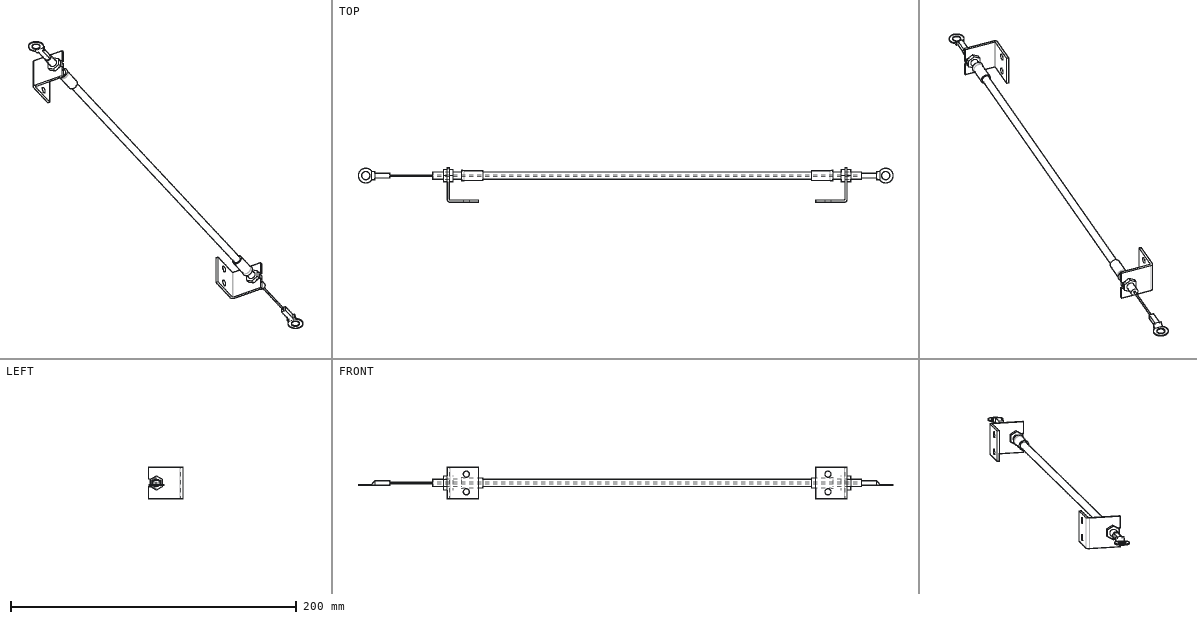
import cadquery as cq
import math

overall_length = 375.0

wire_diameter = 1.2
terminal_length = 22.0
ferrule_size = 3.5
ring_diameter = 10.5
ring_hole_diameter = 5.5
ring_thickness = 0.7
neck_width = 6.0
neck_start = 9.5
neck_end = 11.5

sheath_center = 15.0
sheath_diameter = 5.2
fitting_tip = 150.5
thread_diameter = 5.2
sleeve_inner_end = 115.0
sleeve_length = 13.0
sleeve_diameter = 7.0
collar_length = 2.0
collar_diameter = 8.0

bracket_outer_face = 140.2
bracket_width = 22.0
bracket_depth = 24.5
edge_above_axis = 5.5
sheet_thickness = 1.7
bend_inner_radius = 0.5
screw_hole_diameter = 4.0
screw_hole_spacing = 12.5
screw_hole_inset = 13.5

nut_across_flats = 8.5
nut_thickness = 2.5

SIDES = (-1, 1)


def rod(diameter, start, end):
    """Round bar along X between two stations."""
    return cq.Workplane("YZ", origin=(start, 0, 0)).circle(diameter / 2).extrude(end - start)


def on_side(body, side, center):
    """Place a body drawn for the +X end about a center station, mirrored for the -X end."""
    if side < 0:
        body = body.mirror("YZ")
    return body.translate((center, 0, 0))


def make_terminal():
    """Ring terminal for the +X end: a flat eye whose neck slopes up into a square ferrule."""
    tip = overall_length / 2
    bottom = -ferrule_size / 2
    ring_x = tip - ring_diameter / 2
    ferrule_start = tip - terminal_length
    ferrule = (
        cq.Workplane("YZ", origin=(ferrule_start, 0, 0))
        .rect(ferrule_size, ferrule_size)
        .extrude(terminal_length - neck_end)
    )
    ring = (
        cq.Workplane("XY", origin=(ring_x, 0, bottom))
        .circle(ring_diameter / 2)
        .extrude(ring_thickness)
    )
    neck = (
        cq.Workplane("XZ")
        .moveTo(tip - neck_end, bottom)
        .lineTo(ring_x, bottom)
        .lineTo(ring_x, bottom + ring_thickness)
        .lineTo(tip - neck_start, bottom + ring_thickness)
        .lineTo(tip - neck_end, -bottom)
        .close()
        .extrude(neck_width / 2, both=True)
    )
    eye_hole = (
        cq.Workplane("XY", origin=(ring_x, 0, bottom))
        .circle(ring_hole_diameter / 2)
        .extrude(ferrule_size)
    )
    return ferrule.union(neck).union(ring).cut(eye_hole)


def make_inner_cable():
    wire_end = overall_length / 2 - terminal_length
    cable = rod(wire_diameter, -wire_end, wire_end)
    for side in SIDES:
        cable = cable.union(on_side(make_terminal(), side, 0))
    return cable


def make_fitting():
    """Threaded fitting for the +X end: sleeve over the sheath, flared collar and threaded stub."""
    sleeve_end = sleeve_inner_end + sleeve_length
    sleeve = rod(sleeve_diameter, sleeve_inner_end, sleeve_end)
    collar = (
        cq.Workplane("YZ", origin=(sleeve_end, 0, 0))
        .circle(sleeve_diameter / 2)
        .workplane(offset=collar_length)
        .circle(collar_diameter / 2)
        .loft()
    )
    stub = rod(thread_diameter, sleeve_end, fitting_tip)
    return sleeve.union(collar).union(stub)


def make_outer_cable():
    cable = rod(sheath_diameter, -sleeve_inner_end, sleeve_inner_end)
    for side in SIDES:
        cable = cable.union(on_side(make_fitting(), side, 0))
    bore = rod(wire_diameter, -fitting_tip, fitting_tip)
    return cable.cut(bore).translate((sheath_center, 0, 0))


def make_bracket():
    """Angle bracket for the +X end: a clamp leg across the cable and a screw leg along it."""
    back = edge_above_axis - bracket_depth
    inner_end = bracket_outer_face - bracket_width
    clamp_leg_x = bracket_outer_face - sheet_thickness
    bracket = (
        cq.Workplane("XY", origin=(0, 0, -bracket_width / 2))
        .moveTo(bracket_outer_face, edge_above_axis)
        .lineTo(bracket_outer_face, back)
        .lineTo(inner_end, back)
        .lineTo(inner_end, back + sheet_thickness)
        .lineTo(clamp_leg_x, back + sheet_thickness)
        .lineTo(clamp_leg_x, edge_above_axis)
        .close()
        .extrude(bracket_width)
    )
    bracket = bracket.edges("|Z and >X and <Y").fillet(bend_inner_radius + sheet_thickness)
    inner_corner = cq.selectors.NearestToPointSelector((clamp_leg_x, back + sheet_thickness, 0))
    bracket = bracket.edges("|Z").edges(inner_corner).fillet(bend_inner_radius)

    screw_holes = (
        cq.Workplane("XZ", origin=(bracket_outer_face - screw_hole_inset, back + sheet_thickness, 0))
        .rarray(3.7, screw_hole_spacing, 1, 2)
        .circle(screw_hole_diameter / 2)
        .extrude(sheet_thickness)
    )
    cable_hole = rod(thread_diameter, clamp_leg_x, bracket_outer_face)
    cable_slot = (
        cq.Workplane("XY")
        .box(sheet_thickness, edge_above_axis, thread_diameter, centered=(False, False, True))
        .translate((clamp_leg_x, 0, 0))
    )
    return bracket.cut(screw_holes).cut(cable_hole).cut(cable_slot)


def make_nut(start):
    """Hexagonal nut from a start station, with two flats facing +Y and -Y."""
    across_corners = nut_across_flats / math.cos(math.pi / 6)
    return (
        cq.Workplane("YZ", origin=(start, 0, 0))
        .polygon(6, across_corners)
        .circle(thread_diameter / 2)
        .extrude(nut_thickness)
        .rotate((0, 0, 0), (1, 0, 0), 90)
    )


inner_cable = make_inner_cable()
outer_cable = make_outer_cable()
brackets = [on_side(make_bracket(), side, sheath_center) for side in SIDES]
nut_starts = (bracket_outer_face - sheet_thickness - nut_thickness, bracket_outer_face)
nuts = [on_side(make_nut(start), side, sheath_center) for side in SIDES for start in nut_starts]

result = cq.Compound.makeCompound(
    [body.val() for body in (inner_cable, outer_cable, *brackets, *nuts)]
)